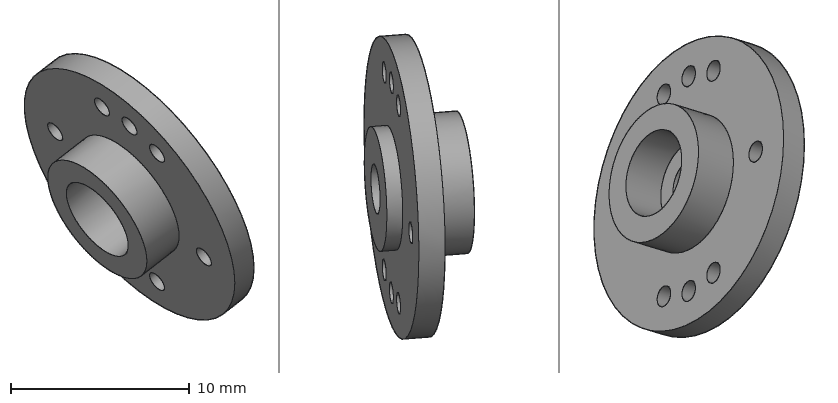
import cadquery as cq

flange_diameter = 17
flange_thickness = 1.5

front_boss_diameter = 8.0
front_boss_length = 2.5
back_boss_diameter = 7.0
back_boss_length = 0.9

through_bore_diameter = 2.8
counterbore_diameter = 5.0
counterbore_depth = front_boss_length

small_hole_diameter = 1.2
side_hole_radius = 6.0
group_hole_radius = 6.5
group_hole_spacing = 20

front_y = -front_boss_length
back_y = flange_thickness + back_boss_length
overall_depth = back_y - front_y


def cylinder(diameter, start_y, length):
    """Cylinder around the Y axis, running from start_y towards +Y."""
    plane = cq.Workplane("XZ", origin=(0, start_y, 0))
    return plane.circle(diameter / 2).extrude(-length)


def flange_hole(radius, angle):
    """Cutter for one flange hole, at an angle measured from +X towards +Z."""
    plane = cq.Workplane("XZ").polarArray(radius, angle, 360, 1)
    return plane.circle(small_hole_diameter / 2).extrude(-flange_thickness)


result = cylinder(flange_diameter, 0, flange_thickness)
result = result.union(cylinder(front_boss_diameter, front_y, front_boss_length))
result = result.union(cylinder(back_boss_diameter, flange_thickness, back_boss_length))

result = result.cut(cylinder(through_bore_diameter, front_y, overall_depth))
result = result.cut(cylinder(counterbore_diameter, front_y, counterbore_depth))

for side_angle in (0, 180):
    result = result.cut(flange_hole(side_hole_radius, side_angle))

for group_angle in (90, 270):
    for step in (-1, 0, 1):
        hole_angle = group_angle + step * group_hole_spacing
        result = result.cut(flange_hole(group_hole_radius, hole_angle))